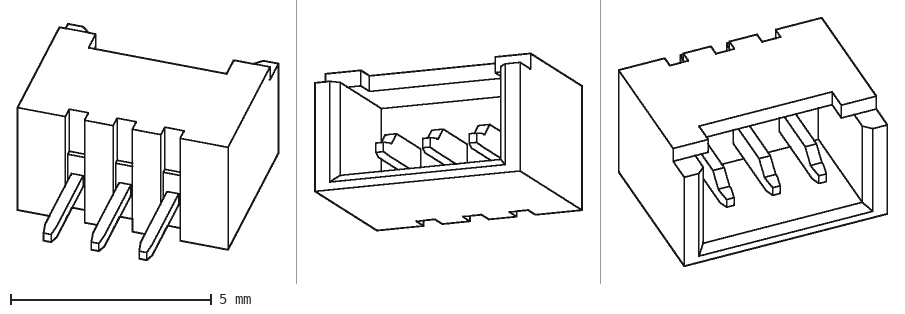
import cadquery as cq


WIDTH = 5.5
HEIGHT = 3.2
OVERALL_LENGTH = 6.5
TAIL_LENGTH = 2.3
BODY_LENGTH = OVERALL_LENGTH - TAIL_LENGTH

SIDE_WALL = 0.6
TOP_WALL = 0.4
BOTTOM_WALL = 0.4
BACK_WALL = 1.2
LEAD_IN = 0.2

RIM_STEP = 0.71
WINDOW_WIDTH = 3.6
WINDOW_DEPTH = 0.59

PIN_COUNT = 3
PITCH = 1.25
PIN_WIDTH = 0.305
PIN_HEIGHT = 0.345
PIN_BOTTOM = 0.96
TIP_LENGTH = 0.3
TIP_TAPER = 0.05
CONTACT_SETBACK = 0.6
CONTACT_END = BODY_LENGTH - CONTACT_SETBACK
FLAT_LENGTH = 0.11
RAMP_RISE = 0.345

SLOT_WIDTH = 0.5
SLOT_DEPTH = 0.325
PAD_SETBACK = 0.195
PAD_BOTTOM = 0.25
PAD_TOP = 1.885
UNDERCUT_DEPTH = 0.5

PIN_POSITIONS = [(i - (PIN_COUNT - 1) / 2) * PITCH for i in range(PIN_COUNT)]


def box(x_center, width, y_start, y_end, z_start, z_end):
    """Box centred on x_center that spans the given Y and Z limits."""
    return cq.Workplane("XY", origin=(x_center, y_start, z_start)).box(
        width, y_end - y_start, z_end - z_start, centered=(True, False, False)
    )


def make_cavity():
    """Mating cavity with a 45-degree lead-in around its mouth."""
    width = WIDTH - 2 * SIDE_WALL
    ceiling = HEIGHT - TOP_WALL
    height = ceiling - BOTTOM_WALL
    cavity = box(0, width, BACK_WALL, BODY_LENGTH, BOTTOM_WALL, ceiling)
    lead_in = (
        cq.Workplane("XZ", origin=(0, BODY_LENGTH - LEAD_IN, BOTTOM_WALL + height / 2))
        .rect(width, height)
        .workplane(offset=-LEAD_IN)
        .rect(width + 2 * LEAD_IN, height + 2 * LEAD_IN)
        .loft(ruled=True)
    )
    return cavity.union(lead_in)


def make_housing():
    """Shroud with its cavity, set-back top wall and latch window."""
    step_start = BODY_LENGTH - RIM_STEP
    window_start = step_start - WINDOW_DEPTH
    ceiling = HEIGHT - TOP_WALL
    housing = box(0, WIDTH, 0, BODY_LENGTH, 0, HEIGHT)
    housing = housing.cut(make_cavity())
    housing = housing.cut(box(0, WIDTH, step_start, BODY_LENGTH, ceiling, HEIGHT))
    return housing.cut(box(0, WINDOW_WIDTH, window_start, step_start, ceiling, HEIGHT))


def make_tail_slot(x):
    """Full-height slot with a raised pad around the tail and a deeper undercut below it."""
    slot = box(x, SLOT_WIDTH, 0, SLOT_DEPTH, 0, HEIGHT)
    pad = box(x, SLOT_WIDTH, PAD_SETBACK, SLOT_DEPTH, PAD_BOTTOM, PAD_TOP)
    undercut = box(x, SLOT_WIDTH, 0, UNDERCUT_DEPTH, 0, PAD_BOTTOM)
    return slot.cut(pad).union(undercut)


def make_tip(x, y, direction):
    """Tapered pin tip starting at y and pointing along direction (+1 or -1 in Y)."""
    return (
        cq.Workplane("XZ", origin=(x, y, PIN_BOTTOM + PIN_HEIGHT / 2))
        .rect(PIN_WIDTH, PIN_HEIGHT)
        .workplane(offset=-direction * TIP_LENGTH)
        .rect(PIN_WIDTH - 2 * TIP_TAPER, PIN_HEIGHT - 2 * TIP_TAPER)
        .loft(ruled=True)
    )


def make_pin(x):
    """Straight pin with tapered ends and a ramp up to a taller contact root."""
    tail_end = TIP_LENGTH - TAIL_LENGTH
    shank_end = CONTACT_END - TIP_LENGTH
    ramp_foot = shank_end - FLAT_LENGTH
    pin_top = PIN_BOTTOM + PIN_HEIGHT
    pin = box(x, PIN_WIDTH, tail_end, shank_end, PIN_BOTTOM, pin_top)
    root = (
        cq.Workplane("YZ", origin=(x, 0, 0))
        .moveTo(BACK_WALL, PIN_BOTTOM)
        .lineTo(ramp_foot, PIN_BOTTOM)
        .lineTo(ramp_foot, pin_top)
        .lineTo(ramp_foot - RAMP_RISE, pin_top + RAMP_RISE)
        .lineTo(BACK_WALL, pin_top + RAMP_RISE)
        .close()
        .extrude(PIN_WIDTH / 2, both=True)
    )
    pin = pin.union(root)
    pin = pin.union(make_tip(x, tail_end, -1))
    return pin.union(make_tip(x, shank_end, 1))


result = make_housing()
for pin_x in PIN_POSITIONS:
    result = result.cut(make_tail_slot(pin_x))
    result = result.union(make_pin(pin_x))